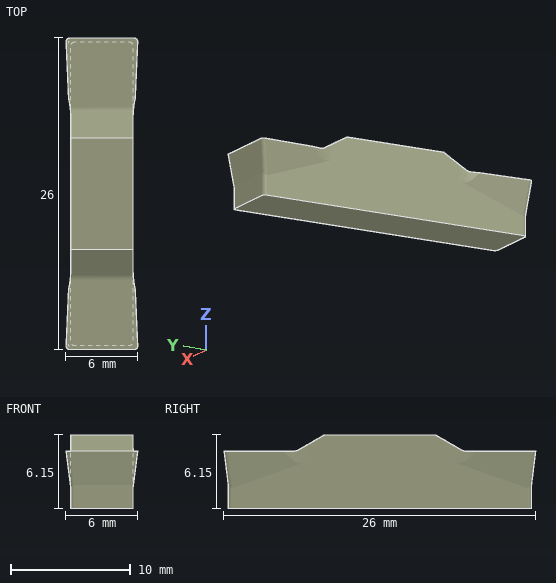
import cadquery as cq
import math

LENGTH = 26.0
HEIGHT = 6.15
LEDGE_HEIGHT = 4.8

SHANK_WIDTH = 5.2
SHANK_LENGTH = 25.3
CORNER_RADIUS = 0.32

CREST_LENGTH = 9.3
RAMP_ANGLE = 30.0
RAMP_FILLET = 0.9

EDGE_WIDTH = 6.025
CLEARANCE_ANGLE = 7.0
BACK_TAPER_ANGLE = 2.5
HEAD_LENGTH = 6.8
HEAD_BOTTOM = 1.0
RELIEF_RADIUS = 8.3

half_length = LENGTH / 2
half_shank = SHANK_WIDTH / 2
head_back = half_length - HEAD_LENGTH


def side_profile():
    """Side outline in YZ, extruded across the full width."""
    crest_end = CREST_LENGTH / 2
    ramp_run = (HEIGHT - LEDGE_HEIGHT) / math.tan(math.radians(RAMP_ANGLE))
    ramp_foot = crest_end + ramp_run
    outline = [
        (-half_length, 0),
        (half_length, 0),
        (half_length, LEDGE_HEIGHT),
        (ramp_foot, LEDGE_HEIGHT),
        (crest_end, HEIGHT),
        (-crest_end, HEIGHT),
        (-ramp_foot, LEDGE_HEIGHT),
        (-half_length, LEDGE_HEIGHT),
    ]
    profile = cq.Workplane("YZ").polyline(outline).close().extrude(EDGE_WIDTH, both=True)
    feet = cq.selectors.BoxSelector(
        (-EDGE_WIDTH, -ramp_foot - RAMP_FILLET / 2, LEDGE_HEIGHT - RAMP_FILLET / 2),
        (EDGE_WIDTH, ramp_foot + RAMP_FILLET / 2, LEDGE_HEIGHT + RAMP_FILLET / 2),
    )
    return profile.edges("|X").edges(feet).fillet(RAMP_FILLET)


def shank():
    block = cq.Workplane("XY").box(SHANK_WIDTH, SHANK_LENGTH, HEIGHT, centered=(True, True, False))
    return block.edges("|Z").fillet(CORNER_RADIUS)


def head_section(z):
    """Corners of the +Y head wedge at height z."""
    lean = math.tan(math.radians(CLEARANCE_ANGLE)) * (z - LEDGE_HEIGHT)
    taper = math.tan(math.radians(BACK_TAPER_ANGLE))
    front = half_length + lean
    half_front = EDGE_WIDTH / 2 + lean * (1 + taper)
    half_back = EDGE_WIDTH / 2 + lean - taper * HEAD_LENGTH
    return [
        (-half_back, head_back),
        (half_back, head_back),
        (half_front, front),
        (-half_front, front),
    ]


def head_wedge():
    """Tapered wedge, leaning inwards on the front and both flanks."""
    wedge = (
        cq.Workplane("XY", origin=(0, 0, HEAD_BOTTOM))
        .polyline(head_section(HEAD_BOTTOM))
        .close()
        .workplane(offset=HEIGHT - HEAD_BOTTOM)
        .polyline(head_section(HEIGHT))
        .close()
        .loft(ruled=True)
    )
    corners = wedge.faces(">Y").edges("not |X")
    return corners.fillet(CORNER_RADIUS)


def relief_envelope():
    """Plan outline whose concave arcs run tangent into the shank sides."""
    half_outer = EDGE_WIDTH / 2 + CORNER_RADIUS
    axis_x = half_shank + RELIEF_RADIUS

    def arc_y(x):
        return head_back + math.sqrt(RELIEF_RADIUS**2 - (axis_x - x) ** 2)

    half_middle = (half_shank + half_outer) / 2
    outer_y = arc_y(half_outer)
    middle_y = arc_y(half_middle)
    front = half_length + CORNER_RADIUS
    return (
        cq.Workplane("XY")
        .moveTo(-half_shank, head_back)
        .lineTo(half_shank, head_back)
        .threePointArc((half_middle, middle_y), (half_outer, outer_y))
        .lineTo(half_outer, front)
        .lineTo(-half_outer, front)
        .lineTo(-half_outer, outer_y)
        .threePointArc((-half_middle, middle_y), (-half_shank, head_back))
        .close()
        .extrude(HEIGHT)
    )


head = head_wedge().intersect(relief_envelope())
opposite_head = head.mirror("XZ")
result = shank().union(head).union(opposite_head).intersect(side_profile())